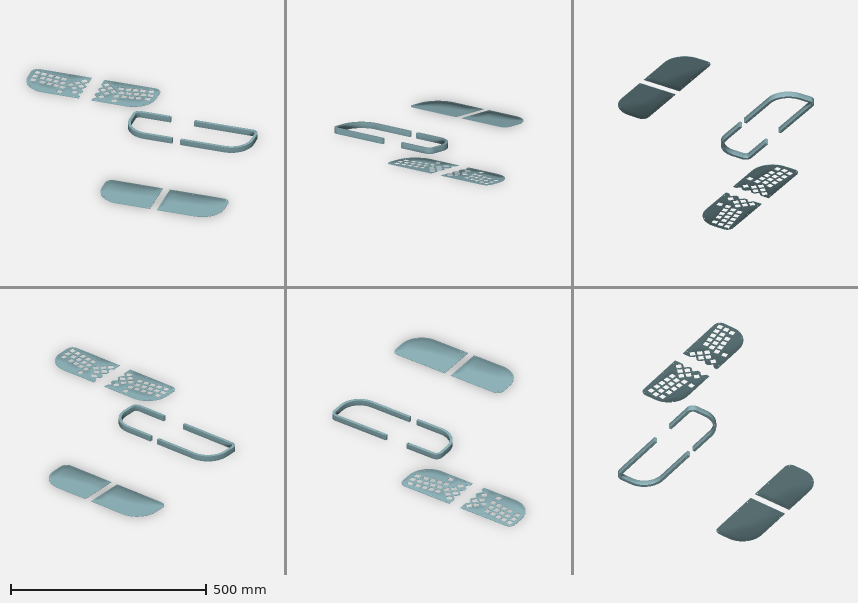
import cadquery as cq
import math


DEPTH = 108.0
REAR_RADIUS = 18.0
FRONT_RADIUS = 60.5
CASE_LENGTH = 314.0

PLATE_THICKNESS = 1.0
RIM_HEIGHT = 15.0
RIM_WIDTH = 7.5

LEFT_SWITCH_LENGTH = 158.0
LEFT_BOTTOM_LENGTH = 150.5
LEFT_RIM_FRONT_LENGTH = 135.5
LEFT_RIM_REAR_LENGTH = 99.0
REAR_OPENING = 41.0
RIGHT_SWITCH_LENGTH = CASE_LENGTH - LEFT_SWITCH_LENGTH
RIGHT_BOTTOM_LENGTH = CASE_LENGTH - LEFT_BOTTOM_LENGTH
RIGHT_RIM_FRONT_LENGTH = CASE_LENGTH - LEFT_RIM_FRONT_LENGTH
RIGHT_RIM_REAR_LENGTH = CASE_LENGTH - LEFT_RIM_REAR_LENGTH - REAR_OPENING

SCREW_DIAMETER = 3.0
LEFT_MIDDLE_SCREW = 95.0
RIGHT_MIDDLE_SCREW = 99.5
SEAM_SCREW = 144.0
RIM_TIP_SCREW = 168.5

SWITCH_SIZE = 14.0
SWITCH_GAP = 5.3
PITCH = SWITCH_SIZE + SWITCH_GAP
KEY_TILT = 8.0
KEYS_PER_ROW = 5

LEFT_END_KEYS = (1.0, 1.25, 1.75)
RIGHT_END_KEYS = (1.25, 1.0, 1.5)
LEFT_BLOCK_START = (7.5, 92.0)
RIGHT_BLOCK_START = (12.0, 91.0)
LEFT_THUMB_KEY = (100.0, 17.0)
RIGHT_THUMB_KEY = (99.0, 16.5)

DIAMOND_TILT = 45.0
DIAMOND_STEP = PITCH / math.sqrt(2)
CLUSTER_Y = 66.5
CLUSTER_CELLS = ((0, 0.5), (0, -1.5), (1, 1.5), (1, -0.5), (2, 0.5), (2, -1.5), (3, -0.5))
FRONT_SEAM_DIAMOND = (0, 19.0)
FRONT_INNER_DIAMOND = (20.0, 26.0)

SWITCH_Y = 473.0
RIM_Y = 330.5
BOTTOM_Y = 0
LEFT_SWITCH_X = 0
RIGHT_SWITCH_X = 348.0
LEFT_RIM_X = 321.0
RIGHT_RIM_X = 657.0
LEFT_BOTTOM_X = 354.5
RIGHT_BOTTOM_X = 687.0


def half_outline(length, inset, height):
    """A half layer: rounded at the outer end, square at the seam, inset from the rounded edges."""
    rear_radius = REAR_RADIUS - inset
    front_radius = FRONT_RADIUS - inset
    rear_y = DEPTH - inset
    return (
        cq.Workplane("XY")
        .moveTo(FRONT_RADIUS, inset)
        .lineTo(length, inset)
        .lineTo(length, rear_y)
        .lineTo(REAR_RADIUS, rear_y)
        .radiusArc((inset, DEPTH - REAR_RADIUS), -rear_radius)
        .lineTo(inset, FRONT_RADIUS)
        .radiusArc((FRONT_RADIUS, inset), -front_radius)
        .close()
        .extrude(height)
    )


def corner_screws():
    """Points on the rim centre line at the middle of both corner arcs."""
    diagonal = math.sqrt(0.5)
    rear = REAR_RADIUS - (REAR_RADIUS - RIM_WIDTH / 2) * diagonal
    front = FRONT_RADIUS - (FRONT_RADIUS - RIM_WIDTH / 2) * diagonal
    return [(rear, DEPTH - rear), (front, front)]


def drill_screws(body, rear_places, front_places):
    """Drill the corner screws and those along the rear and front edges through a body."""
    rear = [(x, DEPTH - RIM_WIDTH / 2) for x in rear_places]
    front = [(x, RIM_WIDTH / 2) for x in front_places]
    holes = (
        cq.Workplane("XY")
        .pushPoints(corner_screws() + rear + front)
        .circle(SCREW_DIAMETER / 2)
        .extrude(RIM_HEIGHT)
    )
    return body.cut(holes)


def key_centres(block_start, end_keys):
    """Centres of the tilted rows, from a start on the outer edge of the rear row."""
    tilt = math.radians(KEY_TILT)
    centres = []
    for row, end_key in enumerate(end_keys):
        down = row * PITCH
        for column in range(KEYS_PER_ROW):
            along = (end_key / 2 if column == 0 else end_key + column - 0.5) * PITCH
            x = block_start[0] + along * math.cos(tilt) - down * math.sin(tilt)
            y = block_start[1] - along * math.sin(tilt) - down * math.cos(tilt)
            centres.append((x, y))
    return centres


def diamond_centres(length):
    """Centres of the diamonds of one half; those on the seam leave notches in it."""
    cluster = [
        (length - column * DIAMOND_STEP, CLUSTER_Y + row * DIAMOND_STEP)
        for column, row in CLUSTER_CELLS
    ]
    front = [(length - x, y) for x, y in (FRONT_SEAM_DIAMOND, FRONT_INNER_DIAMOND)]
    return cluster + front


def square_cutters(centres, tilt):
    """Square prisms turned clockwise by the tilt."""
    square = cq.Sketch().rect(SWITCH_SIZE, SWITCH_SIZE, angle=-tilt)
    return cq.Workplane("XY").pushPoints(centres).placeSketch(square).extrude(PLATE_THICKNESS)


def switch_plate(length, middle_screw, block_start, end_keys, thumb_key):
    plate = half_outline(length, 0, PLATE_THICKNESS)
    plate = drill_screws(plate, [middle_screw, SEAM_SCREW], [SEAM_SCREW])
    keys = key_centres(block_start, end_keys) + [thumb_key]
    plate = plate.cut(square_cutters(keys, KEY_TILT))
    return plate.cut(square_cutters(diamond_centres(length), DIAMOND_TILT))


def bottom_plate(length, middle_screw):
    plate = half_outline(length, 0, PLATE_THICKNESS)
    return drill_screws(plate, [middle_screw, SEAM_SCREW], [SEAM_SCREW])


def rim(front_length, rear_length, rear_screws, front_screws):
    """A C-shaped wall whose rear arm is shorter than its front arm."""
    wall = half_outline(front_length, 0, RIM_HEIGHT)
    wall = wall.cut(half_outline(front_length, RIM_WIDTH, RIM_HEIGHT))
    rear_gap = cq.Workplane("XY").box(
        front_length - rear_length, DEPTH / 2, RIM_HEIGHT, centered=False
    )
    wall = wall.cut(rear_gap.translate((rear_length, DEPTH / 2, 0)))
    return drill_screws(wall, rear_screws, front_screws)


def place_left(body, x, y):
    return body.translate((x, y, 0)).val()


def place_right(body, x, y):
    return body.mirror("YZ").translate((x, y, 0)).val()


left_switch_plate = switch_plate(
    LEFT_SWITCH_LENGTH, LEFT_MIDDLE_SCREW, LEFT_BLOCK_START, LEFT_END_KEYS, LEFT_THUMB_KEY
)
right_switch_plate = switch_plate(
    RIGHT_SWITCH_LENGTH, RIGHT_MIDDLE_SCREW, RIGHT_BLOCK_START, RIGHT_END_KEYS, RIGHT_THUMB_KEY
)
left_rim = rim(LEFT_RIM_FRONT_LENGTH, LEFT_RIM_REAR_LENGTH, [LEFT_MIDDLE_SCREW], [])
right_rim = rim(
    RIGHT_RIM_FRONT_LENGTH,
    RIGHT_RIM_REAR_LENGTH,
    [RIGHT_MIDDLE_SCREW, SEAM_SCREW, RIM_TIP_SCREW],
    [SEAM_SCREW, RIM_TIP_SCREW],
)
left_bottom_plate = bottom_plate(LEFT_BOTTOM_LENGTH, LEFT_MIDDLE_SCREW)
right_bottom_plate = bottom_plate(RIGHT_BOTTOM_LENGTH, RIGHT_MIDDLE_SCREW)

result = cq.Compound.makeCompound(
    [
        place_left(left_switch_plate, LEFT_SWITCH_X, SWITCH_Y),
        place_right(right_switch_plate, RIGHT_SWITCH_X, SWITCH_Y),
        place_left(left_rim, LEFT_RIM_X, RIM_Y),
        place_right(right_rim, RIGHT_RIM_X, RIM_Y),
        place_left(left_bottom_plate, LEFT_BOTTOM_X, BOTTOM_Y),
        place_right(right_bottom_plate, RIGHT_BOTTOM_X, BOTTOM_Y),
    ]
)